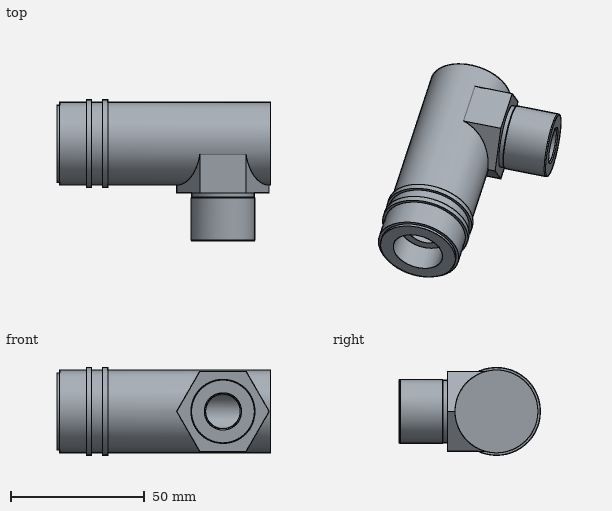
import cadquery as cq
import math

LENGTH = 80.0
BARREL_DIAMETER = 31.0
LIP_DIAMETER = 29.0
LIP_LENGTH = 1.0

RING_DIAMETER = 33.0
RING_WIDTH = 2.0
FIRST_RING_X = 11.0
RING_PITCH = 6.0
RING_COUNT = 2

PORT_X = 62.2
HEX_ACROSS_FLATS = 30.0
HEX_REACH = 18.4
SPIGOT_DIAMETER = 24.0
SPIGOT_REACH = 36.5
NECK_DIAMETER = 23.5
NECK_LENGTH = 1.6
SPIGOT_CHAMFER_LENGTH = 0.5

BORE_DIAMETER = 13.0
SOCKET_DIAMETER = 19.0
SOCKET_DEPTH = 10.0
PORT_CHAMFER = 0.5


def cylinder_x(diameter, start, end):
    """Cylinder on the barrel axis between two X positions."""
    return cq.Workplane("YZ", origin=(start, 0, 0)).circle(diameter / 2).extrude(end - start)


def port_plane(reach=0.0):
    """Workplane on the port axis, facing -Y, at a distance from the barrel axis."""
    return cq.Workplane("XZ", origin=(PORT_X, -reach, 0))


def make_barrel():
    lip = cylinder_x(LIP_DIAMETER, 0, LIP_LENGTH)
    return cylinder_x(BARREL_DIAMETER, LIP_LENGTH, LENGTH).union(lip)


def make_port():
    """Hexagon, relief neck and spigot, with the spigot tapered to the neck size at both ends."""
    across_corners = HEX_ACROSS_FLATS / math.cos(math.pi / 6)
    hexagon = port_plane().polygon(6, across_corners).extrude(HEX_REACH)

    neck_radius = NECK_DIAMETER / 2
    spigot_radius = SPIGOT_DIAMETER / 2
    spigot_start = HEX_REACH + NECK_LENGTH
    edge_height = spigot_radius - neck_radius
    spigot = (
        cq.Workplane("XY", origin=(PORT_X, 0, 0))
        .polyline([
            (0, 0),
            (neck_radius, 0),
            (neck_radius, -spigot_start),
            (spigot_radius, -spigot_start - edge_height),
            (spigot_radius, -SPIGOT_REACH + SPIGOT_CHAMFER_LENGTH),
            (neck_radius, -SPIGOT_REACH),
            (0, -SPIGOT_REACH),
        ])
        .close()
        .revolve(360, (0, 0), (0, 1))
    )
    return hexagon.union(spigot)


def make_passage():
    """Mitred elbow bore, with a wider socket in the barrel and a countersink in the port."""
    main_bore = cylinder_x(BORE_DIAMETER, 0, PORT_X)
    port_bore = port_plane().circle(BORE_DIAMETER / 2).extrude(SPIGOT_REACH)
    crossing_bore = port_plane().circle(BORE_DIAMETER / 2).extrude(BORE_DIAMETER / 2, both=True)
    long_bore = cylinder_x(BORE_DIAMETER, 0, PORT_X + BORE_DIAMETER)
    corner = long_bore.intersect(crossing_bore)
    socket = cylinder_x(SOCKET_DIAMETER, 0, SOCKET_DEPTH)
    countersink = (
        port_plane(SPIGOT_REACH - PORT_CHAMFER)
        .circle(BORE_DIAMETER / 2)
        .workplane(offset=PORT_CHAMFER)
        .circle(BORE_DIAMETER / 2 + PORT_CHAMFER)
        .loft(ruled=True)
    )
    return main_bore.union(port_bore).union(corner).union(socket).union(countersink)


def make_housing():
    return make_barrel().union(make_port()).cut(make_passage())


def make_ring(start):
    """Flat band that fits around the barrel."""
    band = cylinder_x(RING_DIAMETER, start, start + RING_WIDTH)
    return band.cut(cylinder_x(BARREL_DIAMETER, start, start + RING_WIDTH))


housing = make_housing()
rings = [make_ring(FIRST_RING_X + i * RING_PITCH) for i in range(RING_COUNT)]

result = cq.Compound.makeCompound([housing.solids().val(), *[ring.solids().val() for ring in rings]])